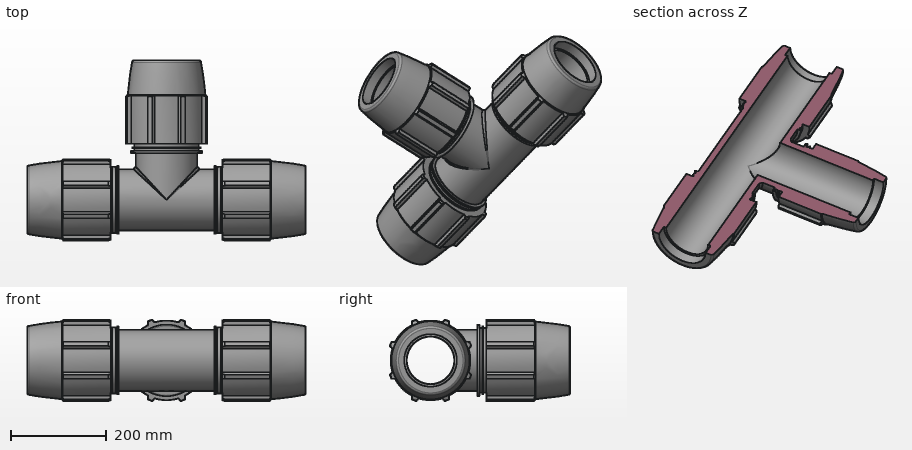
import cadquery as cq
import math


RUN_REACH = 291.5
BRANCH_REACH = 292.0

TUBE_RADIUS = 128.96 / 2
BORE_RADIUS = 99.0 / 2
SOCKET_RADIUS = 110.0 / 2
SOCKET_DEPTH = 22.0
GUSSET_SIZE = 5.0

NECK_RADIUS = 135.75 / 2

RUN_FLANGE = (100.0, 103.4, 142.54 / 2)
BRANCH_FLANGE = (97.5, 102.5, 75.0)
RUN_RING = (106.6, 113.5, 139.14 / 2)
BRANCH_RING = (108.3, 110.3, 142.54 / 2)

NUT_START = 117.0
NUT_RADIUS = 83.5
SHOULDER_LENGTH = 2.0
NOSE_LENGTH = 72.5
NOSE_ROOT_RADIUS = 81.5
NOSE_MID_RADIUS = 77.5
NOSE_TIP_RADIUS = 71.5
NOSE_ROUND = 5.0

LUG_COUNT = 8
LUG_PITCH = 360.0 / LUG_COUNT
OVERALL_HEIGHT = 170.31
LUG_TOP_WIDTH = 9.4
LUG_FLANK_ANGLE = 22.5
LUG_SINK = 5.0
LUG_NOSE_SLOPE = 3.5
RUN_LUG_BEVEL_LENGTH = 5.0
RUN_LUG_BEVEL_DROP = 2.0

half_pitch = math.radians(LUG_PITCH / 2)
LUG_TIP = (OVERALL_HEIGHT - LUG_TOP_WIDTH * math.sin(half_pitch)) / (2 * math.cos(half_pitch))
LUG_CORNER_RADIUS = math.hypot(LUG_TIP, LUG_TOP_WIDTH / 2)


def cylinder(radius, start, end):
    return cq.Workplane("XY").workplane(offset=start).circle(radius).extrude(end - start)


def make_nose(reach):
    """Slightly barrelled taper at the mouth of the nut, with a rounded rim."""
    root = reach - NOSE_LENGTH
    nose = (
        cq.Workplane("XZ")
        .moveTo(0, root)
        .lineTo(NOSE_ROOT_RADIUS, root)
        .threePointArc((NOSE_MID_RADIUS, root + NOSE_LENGTH / 2), (NOSE_TIP_RADIUS, reach))
        .lineTo(0, reach)
        .close()
        .revolve(360, (0, 0, 0), (0, 1, 0))
    )
    return nose.faces(">Z").edges().fillet(NOSE_ROUND)


def make_lug_envelope(root, bevelled):
    """Turned shape that trims both ends of a lug."""
    outline = [(0, root), (0, NUT_START)]
    if bevelled:
        outline.append((LUG_CORNER_RADIUS - RUN_LUG_BEVEL_DROP, NUT_START))
        outline.append((LUG_CORNER_RADIUS, NUT_START + RUN_LUG_BEVEL_LENGTH))
    else:
        outline.append((LUG_CORNER_RADIUS, NUT_START))
    outline += [(LUG_CORNER_RADIUS, root - LUG_NOSE_SLOPE), (NOSE_ROOT_RADIUS, root)]
    return cq.Workplane("XZ").polyline(outline).close().revolve(360, (0, 0, 0), (0, 1, 0))


def make_lug(root, bevelled):
    """One grip lug along the nut, centred on the +X side."""
    base = NUT_RADIUS - LUG_SINK
    half_top = LUG_TOP_WIDTH / 2
    half_base = half_top + (LUG_TIP - base) * math.tan(math.radians(LUG_FLANK_ANGLE))
    bar = (
        cq.Workplane("XY")
        .workplane(offset=NUT_START)
        .polyline([(base, -half_base), (LUG_TIP, -half_top), (LUG_TIP, half_top), (base, half_base)])
        .close()
        .extrude(root - NUT_START)
    )
    return bar.intersect(make_lug_envelope(root, bevelled))


def make_nut(reach, bevelled):
    root = reach - NOSE_LENGTH
    nut = cylinder(NUT_RADIUS, NUT_START, root)
    nut = nut.faces(">Z").edges().chamfer(SHOULDER_LENGTH, NUT_RADIUS - NOSE_ROOT_RADIUS)
    nut = nut.union(make_nose(reach))
    lug = make_lug(root, bevelled)
    for index in range(LUG_COUNT):
        nut = nut.union(lug.rotate((0, 0, 0), (0, 0, 1), (index + 0.5) * LUG_PITCH))
    return nut


def make_flange(flange):
    """Thin flange at the start of the neck, with a full-round rim."""
    start, end, radius = flange
    rim = (end - start) / 2
    return (
        cq.Workplane("XZ")
        .moveTo(0, start)
        .lineTo(radius - rim, start)
        .threePointArc((radius, start + rim), (radius - rim, end))
        .lineTo(0, end)
        .close()
        .revolve(360, (0, 0, 0), (0, 1, 0))
    )


def make_arm(reach, flange, ring, bevelled):
    flange_start = flange[0]
    ring_start, ring_end, ring_radius = ring
    arm = cylinder(TUBE_RADIUS, 0, NUT_START)
    arm = arm.union(cylinder(NECK_RADIUS, flange_start, NUT_START))
    arm = arm.union(make_flange(flange))
    arm = arm.union(cylinder(ring_radius, ring_start, ring_end))
    return arm.union(make_nut(reach, bevelled))


def make_bore(reach):
    bore = cylinder(BORE_RADIUS, 0, reach)
    return bore.union(cylinder(SOCKET_RADIUS, reach - SOCKET_DEPTH, reach))


def make_gusset():
    """Gusset in the +X +Y corner of the tee, fading out where the tubes become tangent.

    An elliptic cylinder square to the corner's diagonal leaves only this gusset outside the tubes.
    """
    diagonal_reach = (2 * TUBE_RADIUS + GUSSET_SIZE) / math.sqrt(2)
    span = TUBE_RADIUS + GUSSET_SIZE
    across = cq.Plane(origin=(0, 0, 0), xDir=(1, 1, 0), normal=(1, -1, 0))
    ellipse = cq.Workplane(across).ellipse(diagonal_reach, TUBE_RADIUS).extrude(2 * span, both=True)
    corner = cq.Workplane("XY").box(span, span, 2 * span, centered=(False, False, True))
    return ellipse.intersect(corner)


def to_right(body):
    return body.rotate((0, 0, 0), (0, 1, 0), 90)


def to_left(body):
    return body.rotate((0, 0, 0), (0, 1, 0), -90)


def to_back(body):
    return body.rotate((0, 0, 0), (1, 0, 0), -90)


run_arm = make_arm(RUN_REACH, RUN_FLANGE, RUN_RING, True)
branch_arm = make_arm(BRANCH_REACH, BRANCH_FLANGE, BRANCH_RING, False)
gusset = make_gusset()
tee = to_right(run_arm).union(to_left(run_arm)).union(to_back(branch_arm))
tee = tee.union(gusset).union(gusset.mirror("YZ"))

run_bore = make_bore(RUN_REACH)
tee = tee.cut(to_right(run_bore)).cut(to_left(run_bore))
result = tee.cut(to_back(make_bore(BRANCH_REACH)))